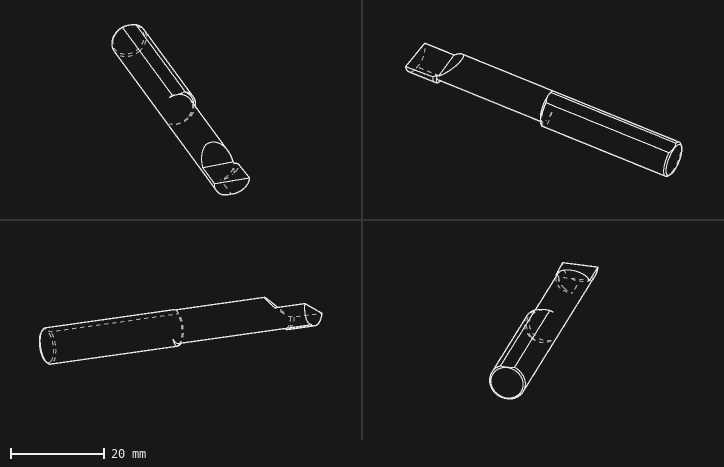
import cadquery as cq
import math

length = 63.5
shank_diameter = 7.95
height = 7.6
shank_length = 30.5
shank_radius = shank_diameter / 2
flat_z = height - shank_radius
end_chamfer = 0.4

neck_radius = flat_z
neck_offset = -0.65
neck_side = neck_offset + neck_radius
shoulder_length = 0.6
shoulder_rise = 0.5

ramp_end = 55.95
lip_start = 56.45
lip_ramp = 0.45
lip_back_y = 3.75
end_skew = 0.4
end_relief_angle = 8.0


def cylinder_along_x(start, end, radius, center_y=0.0):
    plane = cq.Workplane("YZ", origin=(start, center_y, 0))
    return plane.circle(radius).extrude(end - start)


def make_shank():
    shank = cylinder_along_x(0, shank_length, shank_radius)
    return shank.faces("<X").chamfer(end_chamfer)


def make_neck():
    neck = cylinder_along_x(shank_length, length, neck_radius, neck_offset)
    shoulder = (
        cq.Workplane("YZ", origin=(shank_length, neck_offset, 0))
        .circle(neck_radius + shoulder_rise)
        .workplane(offset=shoulder_length)
        .circle(neck_radius)
        .loft()
    )
    envelope = cylinder_along_x(shank_length, length, shank_radius)
    return neck.union(shoulder).intersect(envelope)


def make_lip():
    outline = (
        cq.Workplane("XY")
        .moveTo(lip_start, 0)
        .lineTo(lip_start, neck_side)
        .lineTo(lip_start + lip_ramp, lip_back_y)
        .lineTo(length, shank_radius)
        .lineTo(length, 0)
        .close()
        .extrude(-neck_radius)
    )
    envelope = cylinder_along_x(lip_start, length, neck_radius, shank_radius - neck_radius)
    return outline.intersect(envelope)


def trim_top_flat(body):
    cutter = cq.Workplane("XY", origin=(0, 0, flat_z)).rect(3 * length, 3 * height).extrude(height)
    return body.cut(cutter)


def cut_upper_half(body):
    cutter = (
        cq.Workplane("XZ")
        .moveTo(ramp_end, 0)
        .lineTo(ramp_end - height, height)
        .lineTo(length + height, height)
        .lineTo(length + height, 0)
        .close()
        .extrude(height, both=True)
    )
    return body.cut(cutter)


def relieve_end(body):
    skew_angle = math.degrees(math.atan(end_skew / shank_diameter))
    cutter = (
        cq.Workplane("XY")
        .box(height, 4 * height, 4 * height, centered=(False, True, True))
        .rotate((0, 0, 0), (0, 1, 0), end_relief_angle)
        .rotate((0, 0, 0), (0, 0, 1), -skew_angle)
        .translate((length, shank_radius, 0))
    )
    return body.cut(cutter)


bar = make_shank().union(make_neck()).union(make_lip())
result = relieve_end(cut_upper_half(trim_top_flat(bar)))